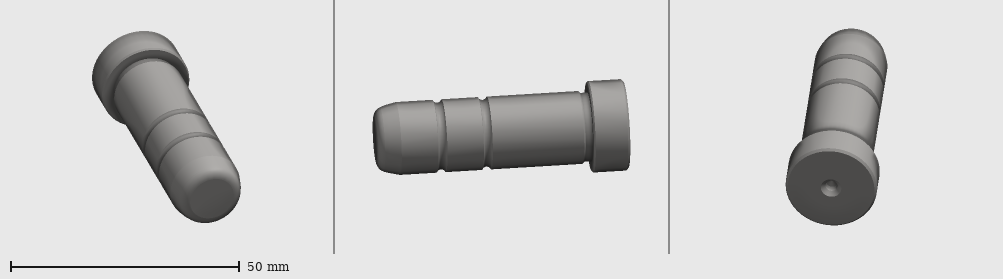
import cadquery as cq
import math

length = 55.0

head_radius = 10.0
head_length = 8.0
head_front_chamfer = 0.5
head_rear_chamfer = 0.35

neck_radius = 7.55
neck_end = 9.5

shank_radius = 8.0
groove_starts = (30.05, 40.0)
groove_width = 2.0
groove_depth = 0.65

nose_start = 50.05
lead_in_end = 53.55
lead_in_end_radius = 7.05
lead_in_bulge = 0.1
tip_radius = 5.0

centre_mouth_radius = 2.25
centre_drill_radius = 1.3
centre_cone_half_angle = math.radians(45)
centre_drill_length = 1.65
drill_tip_half_angle = math.radians(59)


def revolve_about_x(profile):
    return profile.close().revolve(360, (0, 0, 0), (1, 0, 0))


def make_body():
    shank_start = neck_end + shank_radius - neck_radius
    profile = (
        cq.Workplane("XY")
        .lineTo(0, head_radius - head_front_chamfer)
        .lineTo(head_front_chamfer, head_radius)
        .lineTo(head_length - head_rear_chamfer, head_radius)
        .lineTo(head_length, head_radius - head_rear_chamfer)
        .lineTo(head_length, neck_radius)
        .lineTo(neck_end, neck_radius)
        .lineTo(shank_start, shank_radius)
    )
    for start in groove_starts:
        profile = profile.lineTo(start, shank_radius).threePointArc(
            (start + groove_width / 2, shank_radius - groove_depth),
            (start + groove_width, shank_radius),
        )
    lead_in_middle = (
        (nose_start + lead_in_end) / 2,
        (shank_radius + lead_in_end_radius) / 2 + lead_in_bulge,
    )
    profile = (
        profile.lineTo(nose_start, shank_radius)
        .threePointArc(lead_in_middle, (lead_in_end, lead_in_end_radius))
        .tangentArcPoint((length, tip_radius), relative=False)
        .lineTo(length, 0)
    )
    return revolve_about_x(profile)


def make_centre_hole():
    cone_depth = (centre_mouth_radius - centre_drill_radius) / math.tan(centre_cone_half_angle)
    drill_end = cone_depth + centre_drill_length
    tip_depth = centre_drill_radius / math.tan(drill_tip_half_angle)
    profile = (
        cq.Workplane("XY")
        .lineTo(0, centre_mouth_radius)
        .lineTo(cone_depth, centre_drill_radius)
        .lineTo(drill_end, centre_drill_radius)
        .lineTo(drill_end + tip_depth, 0)
    )
    return revolve_about_x(profile)


result = make_body().cut(make_centre_hole())